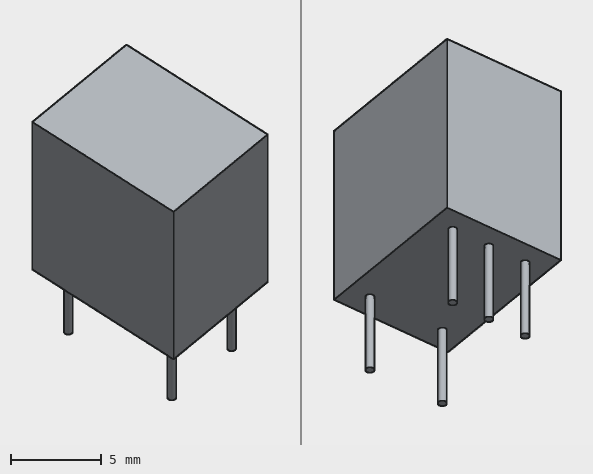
import cadquery as cq

housing_length = 10.4
housing_width = 7.88
total_height = 16.9
pin_length = 5.1
housing_height = total_height - pin_length

pin_diameter = 0.5
row_spacing = 7.6
pin_pitch = 2.5
row_x = row_spacing / 2
pin_positions = [
    (-row_x, -pin_pitch),
    (-row_x, 0),
    (-row_x, pin_pitch),
    (row_x, -pin_pitch),
    (row_x, pin_pitch),
]


def make_housing():
    """Plain block standing on the XY plane."""
    return cq.Workplane("XY").rect(housing_length, housing_width).extrude(housing_height)


def make_pin(x, y):
    """Straight round pin hanging from the underside of the housing."""
    return cq.Workplane("XY").center(x, y).circle(pin_diameter / 2).extrude(-pin_length)


housing = make_housing()
pins = [make_pin(x, y) for x, y in pin_positions]

result = cq.Compound.makeCompound([housing.val(), *[pin.val() for pin in pins]])